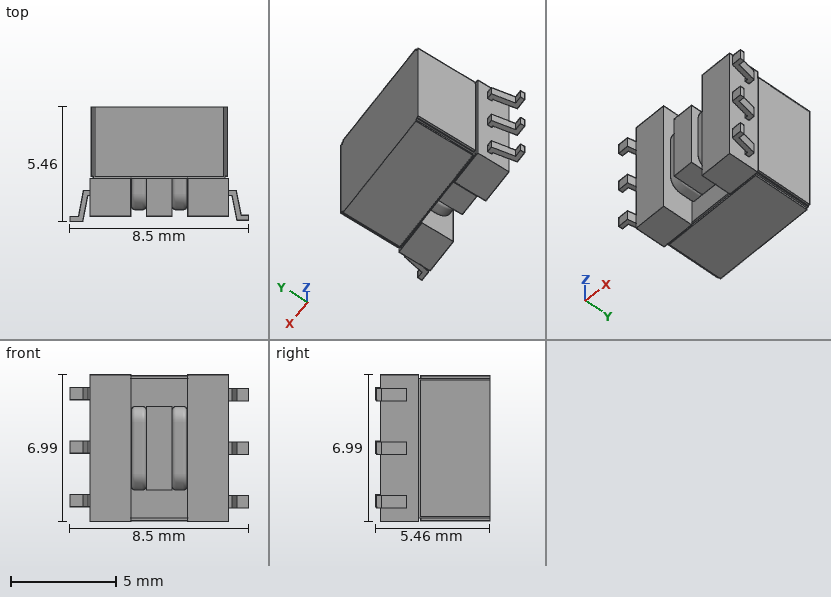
import cadquery as cq


overall_width = 8.5
overall_depth = 5.46
rail_height = 6.99

back_y = overall_depth / 2
core_front_y = -0.67
core_width = 6.27
core_height = 6.65

plate_front_y = -0.58
top_plate_width = 6.09
side_plate_height = 6.48
top_plate_thickness = 0.13
side_plate_thickness = 0.1

rail_front_y = -2.48
rail_outer_x = 3.3
rail_inner_x = 1.35
post_width = 1.22
post_height = 3.97

coil_thickness = 0.71
coil_front_y = -2.17
coil_corner_radius = 0.75
coil_edge_radius = 0.19
coil_embed = 0.425

pin_width = 0.6
pin_pitch = 2.54
pin_thickness = 0.25
pin_leg_width = 0.21
pin_top_y = -1.24
pin_lean = 0.24
pin_tip_x = overall_width / 2
pin_embed = 0.085
pin_root_x = rail_outer_x - pin_embed
left_shoulder_x = 3.6
left_foot_y = -overall_depth / 2
left_row_z = 0.05
right_shoulder_x = 3.66
right_foot_y = -2.67
right_row_z = 0.0


def block(x_range, y_range, height):
    """Box between the given X and Y limits, centred on Z = 0."""
    x_min, x_max = x_range
    y_min, y_max = y_range
    return (
        cq.Workplane("XY")
        .box(x_max - x_min, y_max - y_min, height, centered=(False, False, True))
        .translate((x_min, y_min, 0))
    )


def centred_block(width, y_range, height):
    return block((-width / 2, width / 2), y_range, height)


def core_body():
    """Core with the overlapping top/bottom and left/right cladding plates."""
    plate_y = (plate_front_y, back_y)
    core = centred_block(core_width, (core_front_y, back_y), core_height)
    top_plates = centred_block(top_plate_width, plate_y, core_height + 2 * top_plate_thickness)
    side_plates = centred_block(core_width + 2 * side_plate_thickness, plate_y, side_plate_height)
    return core.union(top_plates).union(side_plates)


def rail():
    return block((rail_inner_x, rail_outer_x), (rail_front_y, core_front_y), rail_height)


def coil():
    """Coil section on the +X side of the post, with a rounded rim."""
    inner_x = post_width / 2
    x_range = (inner_x, inner_x + coil_thickness)
    section = block(x_range, (coil_front_y, core_front_y + coil_embed), post_height)
    section = section.edges("|X and <Y").fillet(coil_corner_radius)
    return section.faces("<X or >X").edges().fillet(coil_edge_radius)


def pin(shoulder_x, foot_y):
    """Bent pin on the +X side: arm out of the rail, sloping leg and flat foot."""
    foot_top_y = foot_y + pin_thickness
    arm_bottom_y = pin_top_y - pin_thickness
    outline = [
        (pin_root_x, pin_top_y),
        (shoulder_x, pin_top_y),
        (shoulder_x + pin_lean, foot_top_y),
        (pin_tip_x, foot_top_y),
        (pin_tip_x, foot_y),
        (shoulder_x + pin_lean - pin_leg_width, foot_y),
        (shoulder_x - pin_leg_width, arm_bottom_y),
        (pin_root_x, arm_bottom_y),
    ]
    return cq.Workplane("XY").polyline(outline).close().extrude(pin_width / 2, both=True)


body = core_body().union(centred_block(post_width, (rail_front_y, core_front_y), post_height))

for side_part in (rail(), coil()):
    body = body.union(side_part).union(side_part.mirror("YZ"))

left_pin = pin(left_shoulder_x, left_foot_y).mirror("YZ")
right_pin = pin(right_shoulder_x, right_foot_y)
for row in (-1, 0, 1):
    row_z = row * pin_pitch
    body = body.union(left_pin.translate((0, 0, left_row_z + row_z)))
    body = body.union(right_pin.translate((0, 0, right_row_z + row_z)))

result = body